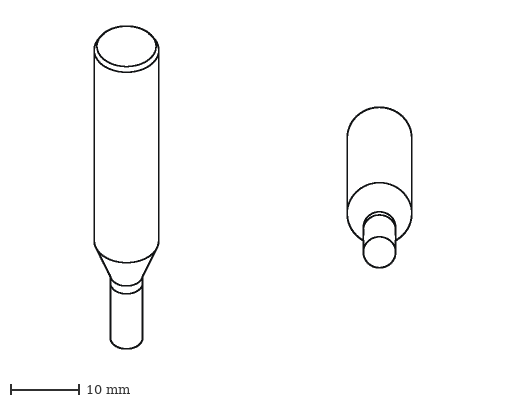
import cadquery as cq

total_length = 58.7
shank_diameter = 9.5
tip_diameter = 4.75
neck_diameter = tip_diameter

tip_length = 11.1
neck_length = 1.6
taper_length = 6.9

chamfer_height = 0.75
chamfer_inset = 0.4


def make_tip():
    """Plain cylinder that butts against the lower face of the neck."""
    return cq.Workplane("XY").circle(tip_diameter / 2).extrude(tip_length)


def make_shank():
    """Neck, taper, cylinder and chamfered end, revolved about Z."""
    neck_radius = neck_diameter / 2
    shank_radius = shank_diameter / 2
    neck_top = tip_length + neck_length
    taper_top = neck_top + taper_length
    profile = (
        cq.Workplane("XZ")
        .moveTo(0, tip_length)
        .lineTo(neck_radius, tip_length)
        .lineTo(neck_radius, neck_top)
        .lineTo(shank_radius, taper_top)
        .lineTo(shank_radius, total_length - chamfer_height)
        .lineTo(shank_radius - chamfer_inset, total_length)
        .lineTo(0, total_length)
        .close()
    )
    return profile.revolve(360, (0, 0, 0), (0, 1, 0))


tip = make_tip()
shank = make_shank()

result = cq.Compound.makeCompound([tip.val(), shank.val()])